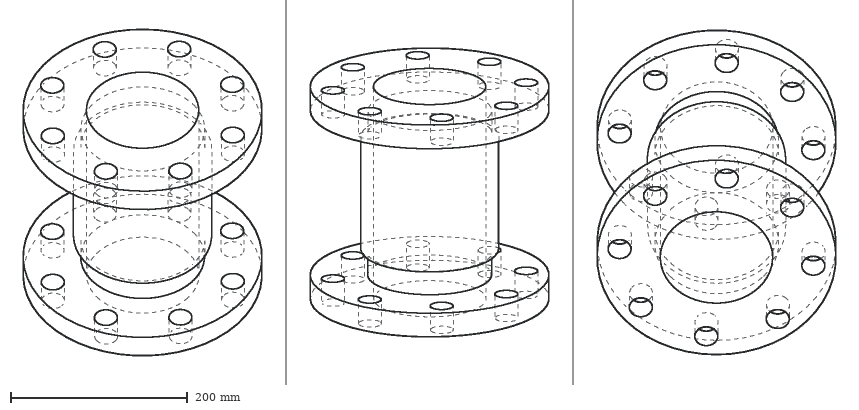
import cadquery as cq

height = 253.0
bore_diameter = 127.0

flange_diameter = 270.0
flange_thickness = 28.4
bolt_circle_diameter = 220.0
bolt_hole_diameter = 26.0
bolt_hole_count = 8

neck_diameter = 140.0
sleeve_diameter = 156.0
sleeve_length = 138.2
shoulder_fillet = 3.0


def cylinder(diameter, length, base_z):
    return cq.Workplane("XY").workplane(offset=base_z).circle(diameter / 2).extrude(length)


def flange(base_z):
    return cylinder(flange_diameter, flange_thickness, base_z)


def pipe_blank():
    """Solid neck and sleeve, with both shoulders rounded at their outer edge and their root."""
    neck = cylinder(neck_diameter, height, -height / 2)
    sleeve = cylinder(sleeve_diameter, sleeve_length, -sleeve_length / 2)
    blank = neck.union(sleeve)
    shoulder_edges = blank.edges("%CIRCLE").edges("not(<Z or >Z)")
    return shoulder_edges.fillet(shoulder_fillet)


def bolt_holes():
    """Bolt holes through both flanges, straddling the X and Y axes."""
    half_pitch_angle = 360 / bolt_hole_count / 2
    return (
        cq.Workplane("XY")
        .workplane(offset=-height / 2)
        .polarArray(bolt_circle_diameter / 2, half_pitch_angle, 360, bolt_hole_count)
        .circle(bolt_hole_diameter / 2)
        .extrude(height)
    )


bore = cylinder(bore_diameter, height, -height / 2)
bottom_flange = flange(-height / 2)
top_flange = flange(height / 2 - flange_thickness)

body = pipe_blank().union(bottom_flange).union(top_flange)
result = body.cut(bore).cut(bolt_holes())